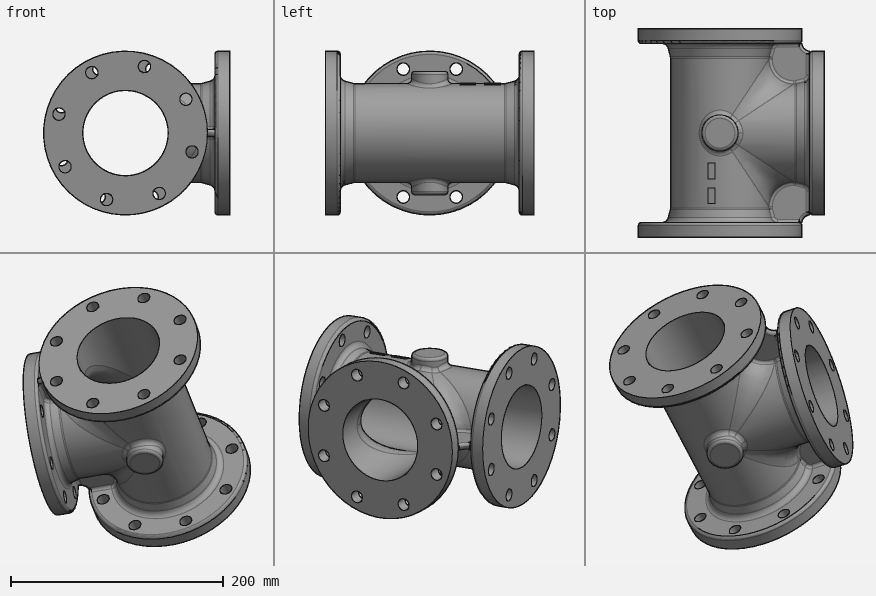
import cadquery as cq
import math

END_REACH = 98.0

FLANGE_RADIUS = 77.0
FLANGE_THICKNESS = 14.0
FLANGE_EDGE_ROUND = 3.0
FLANGE_BACK = END_REACH - FLANGE_THICKNESS

BORE_RADIUS = 40.0
PIPE_RADIUS = 46.5
CROTCH_ROUND = PIPE_RADIUS / 2
BORE_CROTCH_ROUND = CROTCH_ROUND + PIPE_RADIUS - BORE_RADIUS
NECK_LENGTH = 13.0
NECK_START = FLANGE_BACK - NECK_LENGTH
NECK_ANGLE = 15.0
NECK_ROUND = 6.0
NECK_START_ROUND = 5.7
PIPE_END = NECK_START - 1.0

BOLT_COUNT = 8
BOLT_CIRCLE_RADIUS = 65.0
BOLT_HOLE_RADIUS = 5.75
BOLT_PHASE = 180.0 / BOLT_COUNT
FRONT_FLANGE_TWIST = 6.7

BOSS_RADIUS = 17.0
BOSS_HEIGHT = 58.0
BOSS_TOP_ROUND = 3.0
BOSS_BASE_ROUND = 4.5

WEB_THICKNESS = 6.6
WEB_ROUND = 3.0
WEB_RIM_ROUND = 3.2
WEB_RIM_MIDDLE = 79.3

PLATE_WIDTH = 7.0
PLATE_LENGTH = 15.0
PLATE_RAISE = 0.5
PLATE_X = -8.0
PLATE_PLACES_Y = (-35.7, -58.9)


FRONT_END = cq.Plane(origin=(0, 0, 0), xDir=(1, 0, 0), normal=(0, -1, 0))
BACK_END = cq.Plane(origin=(0, 0, 0), xDir=(1, 0, 0), normal=(0, 1, 0))
BRANCH_END = cq.Plane(origin=(0, 0, 0), xDir=(0, 1, 0), normal=(1, 0, 0))
BOLT_ANGLES = (
    (FRONT_END, BOLT_PHASE + FRONT_FLANGE_TWIST),
    (BACK_END, BOLT_PHASE),
    (BRANCH_END, BOLT_PHASE),
)
END_PLANES = (FRONT_END, BACK_END, BRANCH_END)


def rod(plane, radius, length):
    """Solid cylinder from the origin along the normal of the plane."""
    return cq.Workplane(plane).circle(radius).extrude(length)


def is_crotch_edge(edge):
    """True for the sloping curves where run and branch pipes meet off the axes."""
    middle = edge.positionAt(0.5)
    on_diagonal = abs(abs(middle.y) - middle.x) < 0.01
    return on_diagonal and edge.geomType() == "ELLIPSE"


def is_boss_base_edge(edge):
    """True for the curves where a boss stands on the pipes."""
    middle = edge.positionAt(0.5)
    on_boss_wall = abs(math.hypot(middle.x, middle.y) - BOSS_RADIUS) < 0.01
    return on_boss_wall and edge.geomType() != "LINE" and abs(middle.z) < BOSS_HEIGHT - 0.01


def round_crotches(tee, radius):
    """Round the crotches on both sides of the branch."""
    return tee.newObject(filter(is_crotch_edge, tee.edges().vals())).fillet(radius)


def plain_tee(radius, length):
    """Three solid cylinders that run from the origin toward the three ends."""
    tee = cq.Workplane("XY")
    for plane in END_PLANES:
        tee = tee.union(rod(plane, radius, length))
    return tee


def pipe_tee():
    """Solid tee of plain pipes with rounded crotches and a boss above and below."""
    tee = plain_tee(PIPE_RADIUS, PIPE_END)
    bosses = cq.Workplane("XY").circle(BOSS_RADIUS).extrude(BOSS_HEIGHT, both=True)
    tee = round_crotches(tee.union(bosses), CROTCH_ROUND)
    tee = tee.newObject(filter(is_boss_base_edge, tee.edges().vals())).fillet(BOSS_BASE_ROUND)
    return tee.faces("<Z or >Z").edges().fillet(BOSS_TOP_ROUND)


def flanged_end():
    """Pipe stub, conical neck and flange, standing along +Z."""
    neck_end_radius = PIPE_RADIUS + NECK_LENGTH * math.tan(math.radians(NECK_ANGLE))
    neck = (
        cq.Workplane("XY", origin=(0, 0, NECK_START))
        .circle(PIPE_RADIUS)
        .workplane(offset=NECK_LENGTH)
        .circle(neck_end_radius)
        .loft()
    )
    stub = cq.Workplane("XY", origin=(0, 0, PIPE_END)).circle(PIPE_RADIUS).extrude(NECK_START - PIPE_END)
    neck = stub.union(neck)
    neck_start = neck.edges(cq.selectors.NearestToPointSelector((0, 0, NECK_START)))
    neck = neck.newObject(neck_start.vals()).fillet(NECK_START_ROUND)
    flange = (
        cq.Workplane("XY", origin=(0, 0, FLANGE_BACK))
        .circle(FLANGE_RADIUS)
        .extrude(FLANGE_THICKNESS)
        .edges("<Z")
        .fillet(FLANGE_EDGE_ROUND)
    )
    end = neck.union(flange)
    root = end.faces("|Z").faces(">Z[-2]").edges(cq.selectors.RadiusNthSelector(0))
    return end.newObject(root.vals()).fillet(NECK_ROUND)


def web():
    """Flat web in the +Y corner between the back faces of two flanges."""
    return (
        cq.Workplane("XY", origin=(0, 0, -WEB_THICKNESS / 2))
        .moveTo(BORE_RADIUS, BORE_RADIUS)
        .lineTo(BORE_RADIUS, FLANGE_BACK)
        .lineTo(FLANGE_RADIUS, FLANGE_BACK)
        .threePointArc((WEB_RIM_MIDDLE, WEB_RIM_MIDDLE), (FLANGE_BACK, FLANGE_RADIUS))
        .lineTo(FLANGE_BACK, BORE_RADIUS)
        .close()
        .extrude(WEB_THICKNESS)
    )


def web_face_edges(body):
    """Edges that bound the upper and lower flat faces of both webs."""
    edges = []
    for face in body.faces("|Z").vals():
        if abs(abs(face.Center().z) - WEB_THICKNESS / 2) < 0.01:
            edges.extend(face.Edges())
    return edges


def is_near_rim(edge):
    """True for the web edges out where the flange edges are already rounded away."""
    middle = edge.positionAt(0.5)
    return middle.x + abs(middle.y) > FLANGE_BACK + FLANGE_RADIUS - FLANGE_EDGE_ROUND


def is_rim_arc(edge):
    """True for the arcs along the hollowed outer rim of a web."""
    return is_near_rim(edge) and edge.geomType() == "CIRCLE"


def add_webs(body):
    """Join both webs to the body, round their inner corners, then round off their rims."""
    body = body.union(web()).union(web().mirror("XZ"))
    corner_edges = [edge for edge in web_face_edges(body) if not is_near_rim(edge)]
    body = body.newObject(corner_edges).fillet(WEB_ROUND)
    rim_edges = [edge for edge in web_face_edges(body) if is_rim_arc(edge)]
    return body.newObject(rim_edges).fillet(WEB_RIM_ROUND)


def raised_plates():
    """Two thin rectangles that follow the curve of the run pipe."""
    blocks = (
        cq.Workplane("XY")
        .pushPoints([(PLATE_X, y) for y in PLATE_PLACES_Y])
        .rect(PLATE_WIDTH, PLATE_LENGTH)
        .extrude(BOSS_HEIGHT)
    )
    return blocks.intersect(rod(FRONT_END, PIPE_RADIUS + PLATE_RAISE, END_REACH))


def bolt_holes(plane, first_angle):
    """Ring of drills through the flange at the given end."""
    return (
        cq.Workplane(plane)
        .workplane(offset=FLANGE_BACK)
        .polarArray(BOLT_CIRCLE_RADIUS, first_angle, 360, BOLT_COUNT)
        .circle(BOLT_HOLE_RADIUS)
        .extrude(FLANGE_THICKNESS)
    )


body = pipe_tee()
for plane in END_PLANES:
    end = flanged_end().val().moved(cq.Location(plane))
    body = body.union(cq.Workplane(end))
body = add_webs(body).union(raised_plates())
body = body.cut(round_crotches(plain_tee(BORE_RADIUS, END_REACH), BORE_CROTCH_ROUND))
for plane, first_angle in BOLT_ANGLES:
    body = body.cut(bolt_holes(plane, first_angle))
result = body